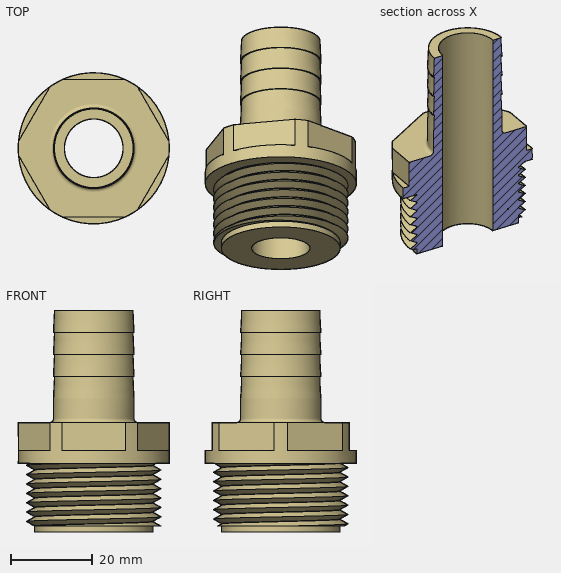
import cadquery as cq
import math

lead_height = 1.5
flange_bottom = 17.0
flange_height = 3.2
hex_height = 6.85
flange_top = flange_bottom + flange_height
hex_top = flange_top + hex_height
total_height = 54.7

bore_diameter = 14.4
flange_diameter = 37.3
across_flats = 33.85
hexagon_turn = 30

barb_count = 4
barb_length = 5.45
barb_tip_diameter = 19.4
barb_base_diameter = 19.9
tail_fillet = 0.95

thread_pitch = 2.309
thread_major_diameter = 33.2
thread_core_diameter = 29.3
flank_half_angle = math.radians(29.5)
root_overlap = 0.03


def cylinder(diameter, bottom, top):
    """Solid cylinder on the Z axis between two levels."""
    return cq.Workplane("XY").workplane(offset=bottom).circle(diameter / 2).extrude(top - bottom)


def make_threaded_end():
    """Core with a right-handed V thread cut flat at the lead-in and at the flange."""
    core_radius = thread_core_diameter / 2
    crest_radius = thread_major_diameter / 2
    inner_radius = core_radius - root_overlap
    half_base = (crest_radius - inner_radius) * math.tan(flank_half_angle)

    start_height = lead_height - thread_pitch
    turns = math.ceil((flange_bottom - start_height) / thread_pitch) + 1
    helix_height = turns * thread_pitch
    helix = cq.Wire.makeHelix(thread_pitch, helix_height, core_radius)
    ridge = (
        cq.Workplane("XZ")
        .moveTo(inner_radius, -half_base)
        .lineTo(crest_radius, 0)
        .lineTo(inner_radius, half_base)
        .close()
        .sweep(cq.Workplane(obj=helix), isFrenet=True)
        .translate((0, 0, start_height))
    )
    long_core = cylinder(
        thread_core_diameter,
        start_height - thread_pitch,
        start_height + helix_height + thread_pitch,
    )
    threaded_length = cylinder(flange_diameter, lead_height, flange_bottom)
    thread = long_core.union(ridge).intersect(threaded_length)
    return thread.union(cylinder(thread_core_diameter, 0, lead_height))


def make_hexagon():
    """Wrench hexagon with its corners rounded to the flange diameter."""
    hexagon = (
        cq.Workplane("XY")
        .workplane(offset=flange_top)
        .transformed(rotate=(0, 0, hexagon_turn))
        .polygon(6, across_flats, circumscribed=True)
        .extrude(hex_height)
    )
    return hexagon.intersect(cylinder(flange_diameter, flange_top, hex_top))


def make_hose_tail():
    """Plain neck with a filleted foot, topped by a stack of tapered barbs."""
    neck_radius = barb_base_diameter / 2
    tip_radius = barb_tip_diameter / 2
    neck_top = total_height - barb_count * barb_length
    arc_centre_radius = neck_radius + tail_fillet
    arc_centre_height = hex_top + tail_fillet
    arc_offset = tail_fillet * math.sqrt(0.5)
    profile = (
        cq.Workplane("XZ")
        .moveTo(0, hex_top)
        .lineTo(arc_centre_radius, hex_top)
        .threePointArc(
            (arc_centre_radius - arc_offset, arc_centre_height - arc_offset),
            (neck_radius, arc_centre_height),
        )
        .lineTo(neck_radius, neck_top)
    )
    for barb in range(barb_count):
        barb_bottom = neck_top + barb * barb_length
        if barb > 0:
            profile = profile.lineTo(neck_radius, barb_bottom)
        profile = profile.lineTo(tip_radius, barb_bottom + barb_length)
    return profile.lineTo(0, total_height).close().revolve(360, (0, 0, 0), (0, 1, 0))


body = make_threaded_end()
body = body.union(cylinder(flange_diameter, flange_bottom, flange_top))
body = body.union(make_hexagon())
body = body.union(make_hose_tail())
result = body.cut(cylinder(bore_diameter, 0, total_height))